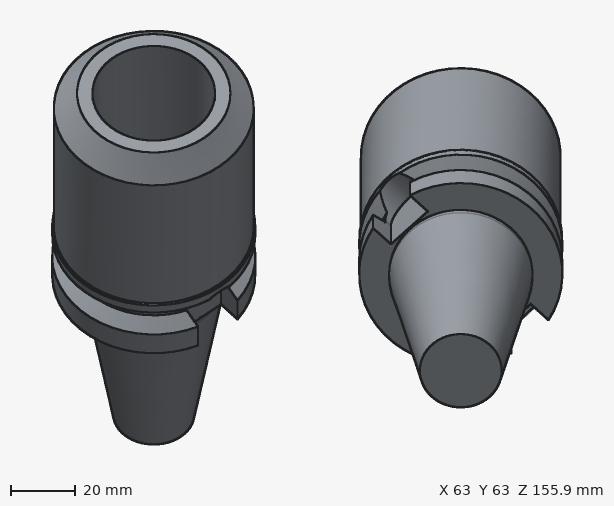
import cadquery as cq
import math


GAUGE_DIAMETER = 44.45
TAPER_RATIO = 7 / 24
SHANK_LENGTH = 65.4

FLANGE_DIAMETER = 63.0
FLANGE_BOTTOM = 2.0
FLANGE_TOP = 25.8
FLANGE_TOP_BEVEL = 0.5
GROOVE_CENTRE = 16.5
GROOVE_FLOOR_HEIGHT = 4.7
GROOVE_DIAMETER = 52.6
GROOVE_FLANK_ANGLE = 30.0

NOSE_HEIGHT = 90.49
BODY_DIAMETER = 62.0
NOSE_DIAMETER = 47.5
NOSE_CONE_HEIGHT = 7.25

BORE_DIAMETER = 38.0
BORE_DEPTH = 60.0

KEYWAY_WIDTH = 16.1
KEYWAY_HEIGHT = 21.0
KEYWAY_FLOOR = 22.6


def make_holder():
    """Revolve the shank, flange and nose as one profile."""
    shank_radius = GAUGE_DIAMETER / 2
    tip_radius = (GAUGE_DIAMETER - TAPER_RATIO * SHANK_LENGTH) / 2
    flange_radius = FLANGE_DIAMETER / 2
    groove_radius = GROOVE_DIAMETER / 2
    body_radius = BODY_DIAMETER / 2

    flank_height = (flange_radius - groove_radius) * math.tan(math.radians(GROOVE_FLANK_ANGLE))
    groove_floor_bottom = GROOVE_CENTRE - GROOVE_FLOOR_HEIGHT / 2
    groove_floor_top = GROOVE_CENTRE + GROOVE_FLOOR_HEIGHT / 2
    lower_rim_top = groove_floor_bottom - flank_height
    upper_rim_bottom = groove_floor_top + flank_height

    profile = [
        (0, -SHANK_LENGTH),
        (tip_radius, -SHANK_LENGTH),
        (shank_radius, 0),
        (shank_radius, FLANGE_BOTTOM),
        (flange_radius, FLANGE_BOTTOM),
        (flange_radius, lower_rim_top),
        (groove_radius, groove_floor_bottom),
        (groove_radius, groove_floor_top),
        (flange_radius, upper_rim_bottom),
        (flange_radius, FLANGE_TOP - FLANGE_TOP_BEVEL),
        (body_radius, FLANGE_TOP),
        (body_radius, NOSE_HEIGHT - NOSE_CONE_HEIGHT),
        (NOSE_DIAMETER / 2, NOSE_HEIGHT),
        (0, NOSE_HEIGHT),
    ]
    return cq.Workplane("XZ").polyline(profile).close().revolve(360, (0, 0), (0, 1))


def make_bore():
    """Cylinder that is cut down from the nose face."""
    return (
        cq.Workplane("XY", origin=(0, 0, NOSE_HEIGHT))
        .circle(BORE_DIAMETER / 2)
        .extrude(-BORE_DEPTH)
    )


def make_keyway(side):
    """Arch-topped cutter reaching from the keyway floor out past the rim; side is +1 or -1 along X."""
    half_width = KEYWAY_WIDTH / 2
    crown = FLANGE_BOTTOM + KEYWAY_HEIGHT
    spring_line = crown - half_width
    return (
        cq.Workplane("YZ", origin=(side * KEYWAY_FLOOR, 0, 0))
        .moveTo(-half_width, FLANGE_BOTTOM)
        .lineTo(half_width, FLANGE_BOTTOM)
        .lineTo(half_width, spring_line)
        .threePointArc((0, crown), (-half_width, spring_line))
        .close()
        .extrude(side * FLANGE_DIAMETER / 2)
    )


result = make_holder().cut(make_bore())
for side in (-1, 1):
    result = result.cut(make_keyway(side))